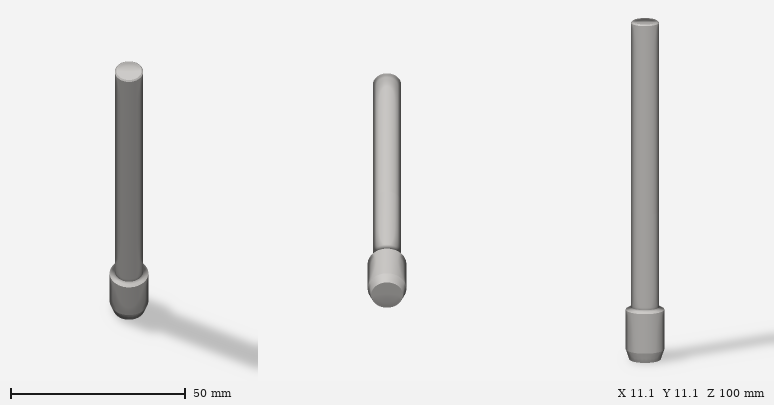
import cadquery as cq

total_length = 100.0
joint_height = 43.7
neck_base_height = 15.5
shoulder_height = 14.7
taper_height = 3.0

shank_diameter = 8.1
neck_diameter = shank_diameter
head_diameter = 11.1
tip_diameter = 9.1

shank_chamfer = 0.4


def make_shank():
    """Plain round shank with a chamfered upper end."""
    return (
        cq.Workplane("XY", origin=(0, 0, joint_height))
        .circle(shank_diameter / 2)
        .extrude(total_length - joint_height)
        .faces(">Z")
        .chamfer(shank_chamfer)
    )


def make_head():
    """Tapered tip, cylindrical head, sloped shoulder and neck, revolved about Z."""
    neck_radius = neck_diameter / 2
    head_radius = head_diameter / 2
    return (
        cq.Workplane("XZ")
        .lineTo(tip_diameter / 2, 0)
        .lineTo(head_radius, taper_height)
        .lineTo(head_radius, shoulder_height)
        .lineTo(neck_radius, neck_base_height)
        .lineTo(neck_radius, joint_height)
        .lineTo(0, joint_height)
        .close()
        .revolve(360, (0, 0, 0), (0, 1, 0))
    )


shank = make_shank()
head = make_head()

result = cq.Compound.makeCompound([shank.val(), head.val()])